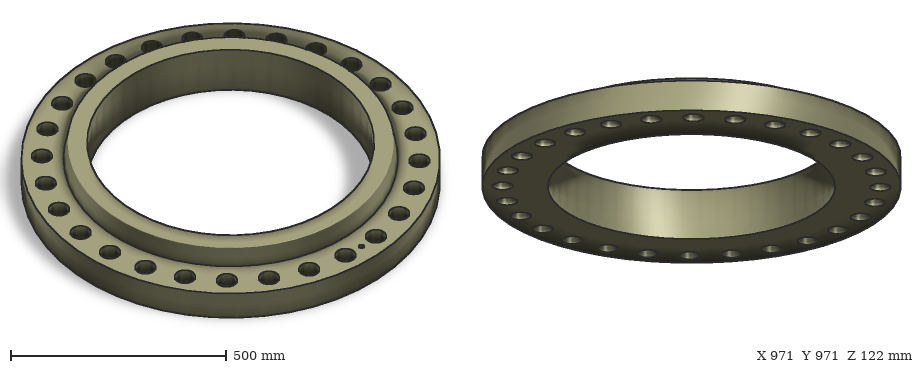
import cadquery as cq
import math

flange_diameter = 971.0
flange_thickness = 74.0
bore_diameter = 666.0

total_height = 122.0
hub_base_diameter = 776.0
hub_top_diameter = 758.0
hub_rim_radius = 2.0

bolt_count = 28
bolt_circle_diameter = 876.0
bolt_hole_diameter = 48.0

pin_hole_diameter = 13.0
pin_hole_depth = 15.0
pin_angle = math.pi / bolt_count


def ring_body():
    """Revolve the flange and hub section about the Z axis, then round the hub rim."""
    bore_radius = bore_diameter / 2
    flange_radius = flange_diameter / 2
    section = [
        (bore_radius, 0),
        (flange_radius, 0),
        (flange_radius, flange_thickness),
        (hub_base_diameter / 2, flange_thickness),
        (hub_top_diameter / 2, total_height),
        (bore_radius, total_height),
    ]
    ring = cq.Workplane("XZ").polyline(section).close().revolve(360, (0, 0), (0, 1))
    outer_edge = cq.selectors.RadiusNthSelector(-1)
    return ring.faces(">Z").edges(outer_edge).fillet(hub_rim_radius)


def bolt_holes():
    """Through holes evenly spaced around the flange, starting on +X."""
    return (
        cq.Workplane("XY")
        .polarArray(bolt_circle_diameter / 2, 0, 360, bolt_count)
        .circle(bolt_hole_diameter / 2)
        .extrude(flange_thickness)
    )


def pin_hole():
    """Small blind hole sunk into the upper face of the flange."""
    radius = bolt_circle_diameter / 2
    return (
        cq.Workplane("XY")
        .workplane(offset=flange_thickness)
        .center(radius * math.cos(pin_angle), radius * math.sin(pin_angle))
        .circle(pin_hole_diameter / 2)
        .extrude(-pin_hole_depth)
    )


result = ring_body().cut(bolt_holes()).cut(pin_hole())